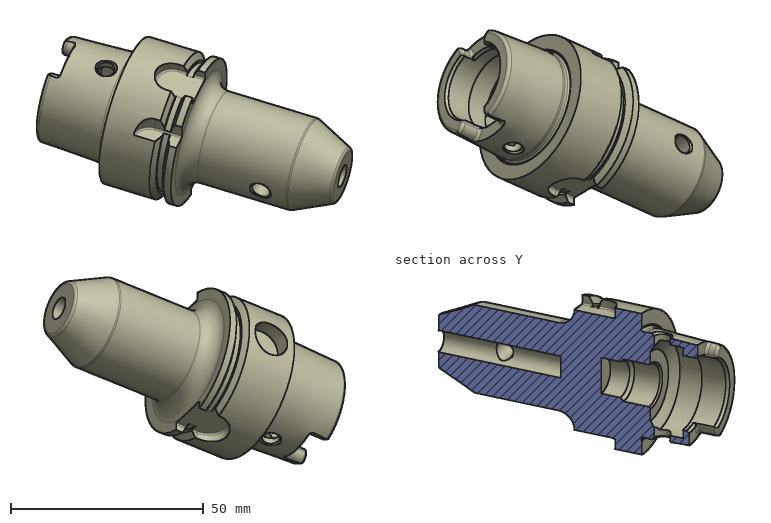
import cadquery as cq
import math

ARC_INSET = 1 - math.sqrt(0.5)

SHANK_LENGTH = 19.9
FLANGE_WIDTH = 20.0
NOSE_END_X = 60.0

SHANK_END_RADIUS = 14.3
SHANK_BASE_RADIUS = 15.1
SHANK_BASE_X = -1.9
NECK_START_X = -1.2
NECK_RADIUS = 14.95
SHANK_END_FILLET = 0.9

FLANGE_RADIUS = 20.0
GROOVE_CENTRE_X = 16.0
GROOVE_TOP_WIDTH = 4.0
GROOVE_FLOOR_WIDTH = 1.8
GROOVE_FLOOR_RADIUS = 17.4
GROOVE_FLANK_ANGLE = 30.0

RELIEF_RADIUS = 15.95
RELIEF_DEPTH = 0.2
RELIEF_BEVEL_WIDTH = 0.35
NECK_FILLET = 0.45

STEM_RADIUS = 12.5
STEM_FILLET = 4.5
NOSE_END_RADIUS = 7.5
NOSE_CONE_ANGLE = 25.0
NOSE_FILLET = 1.0

MOUTH_RADIUS = 10.95
MOUTH_LENGTH = 0.9
BORE_RADIUS = 10.5
BORE_SHOULDER_X = -12.0
CHAMBER_RADIUS = 12.75
CHAMBER_END_X = -4.3
CHAMBER_FLOOR_RADIUS = 9.72
CHAMBER_FLOOR_ANGLE = 30.0
TUBE_MOUTH_RADIUS = 6.4
TUBE_THREAD_RADIUS = 5.9
TUBE_BORE_RADIUS = 5.0
TUBE_THREAD_LENGTH = 8.0
TUBE_BORE_END_X = 12.0

KEY_SLOT_WIDTH = 8.05
KEY_FLARE_RADIUS = 2.5
KEY_FLARE_TOP = 13.0
KEY_FLOOR_FILLET = 0.8
TOP_KEY_DEPTH = 3.4
BOTTOM_KEY_DEPTH = 6.0

SHANK_HOLE_X = -5.9
SHANK_HOLE_RADIUS = 2.3
SHANK_HOLE_SINK_RADIUS = 2.9

FLANGE_SLOT_START_X = 8.0
FLANGE_SLOT_FLOOR = 17.0
FLANGE_SLOT_FILLET = 0.4
TOP_SLOT_WIDTH = 9.0
BOTTOM_SLOT_WIDTH = 11.0
NOTCH_OFFSET = 12.0
NOTCH_END_RADIUS = 4.5

POCKET_X = 7.2
POCKET_RADIUS = 5.0
POCKET_DEPTH = 4.6

TOOL_BORE_RADIUS = 3.0
TOOL_BORE_DEPTH = 36.0
SCREW_X = 42.0
SCREW_HOLE_RADIUS = 2.5
SCREW_SINK_RADIUS = 3.0


def revolve_about_x(profile):
    return profile.close().revolve(360, (0, 0, 0), (1, 0, 0))


def make_body():
    cone_start_x = NOSE_END_X - (STEM_RADIUS - NOSE_END_RADIUS) / math.tan(math.radians(NOSE_CONE_ANGLE))
    neck_arc_offset = NECK_FILLET * ARC_INSET
    neck_arc_mid = (RELIEF_DEPTH - neck_arc_offset, NECK_RADIUS + neck_arc_offset)
    stem_arc_offset = STEM_FILLET * ARC_INSET
    stem_arc_mid = (FLANGE_WIDTH + stem_arc_offset, STEM_RADIUS + stem_arc_offset)
    half_top = GROOVE_TOP_WIDTH / 2
    half_floor = GROOVE_FLOOR_WIDTH / 2
    flank_drop = (half_top - half_floor) / math.tan(math.radians(GROOVE_FLANK_ANGLE))
    flank_radius = FLANGE_RADIUS - flank_drop
    profile = (
        cq.Workplane("XY")
        .moveTo(-SHANK_LENGTH, 0)
        .lineTo(-SHANK_LENGTH, SHANK_END_RADIUS)
        .lineTo(SHANK_BASE_X, SHANK_BASE_RADIUS)
        .lineTo(NECK_START_X, NECK_RADIUS)
        .lineTo(RELIEF_DEPTH - NECK_FILLET, NECK_RADIUS)
        .threePointArc(neck_arc_mid, (RELIEF_DEPTH, NECK_RADIUS + NECK_FILLET))
        .lineTo(RELIEF_DEPTH, RELIEF_RADIUS - RELIEF_BEVEL_WIDTH)
        .lineTo(0, RELIEF_RADIUS)
        .lineTo(0, FLANGE_RADIUS)
        .lineTo(GROOVE_CENTRE_X - half_top, FLANGE_RADIUS)
        .lineTo(GROOVE_CENTRE_X - half_floor, flank_radius)
        .lineTo(GROOVE_CENTRE_X - half_floor, GROOVE_FLOOR_RADIUS)
        .lineTo(GROOVE_CENTRE_X + half_floor, GROOVE_FLOOR_RADIUS)
        .lineTo(GROOVE_CENTRE_X + half_floor, flank_radius)
        .lineTo(GROOVE_CENTRE_X + half_top, FLANGE_RADIUS)
        .lineTo(FLANGE_WIDTH, FLANGE_RADIUS)
        .lineTo(FLANGE_WIDTH, STEM_RADIUS + STEM_FILLET)
        .threePointArc(stem_arc_mid, (FLANGE_WIDTH + STEM_FILLET, STEM_RADIUS))
        .lineTo(cone_start_x, STEM_RADIUS)
        .lineTo(NOSE_END_X, NOSE_END_RADIUS)
        .lineTo(NOSE_END_X, 0)
    )
    body = revolve_about_x(profile)
    body = body.edges(cq.selectors.BoxSelector(
        (cone_start_x - 1, -FLANGE_RADIUS, -FLANGE_RADIUS),
        (NOSE_END_X + 1, FLANGE_RADIUS, FLANGE_RADIUS),
    )).edges("%CIRCLE").fillet(NOSE_FILLET)
    return body.faces("<X").edges().fillet(SHANK_END_FILLET)


def make_clamping_bore():
    floor_rise = (CHAMBER_RADIUS - CHAMBER_FLOOR_RADIUS) * math.tan(math.radians(CHAMBER_FLOOR_ANGLE))
    floor_x = CHAMBER_END_X + floor_rise
    thread_chamfer = TUBE_MOUTH_RADIUS - TUBE_THREAD_RADIUS
    thread_step = TUBE_THREAD_RADIUS - TUBE_BORE_RADIUS
    thread_end_x = floor_x + TUBE_THREAD_LENGTH
    profile = (
        cq.Workplane("XY")
        .moveTo(-SHANK_LENGTH, 0)
        .lineTo(-SHANK_LENGTH, MOUTH_RADIUS)
        .lineTo(-SHANK_LENGTH + MOUTH_LENGTH, BORE_RADIUS)
        .lineTo(BORE_SHOULDER_X, BORE_RADIUS)
        .lineTo(BORE_SHOULDER_X, CHAMBER_RADIUS)
        .lineTo(CHAMBER_END_X, CHAMBER_RADIUS)
        .lineTo(floor_x, CHAMBER_FLOOR_RADIUS)
        .lineTo(floor_x, TUBE_MOUTH_RADIUS)
        .lineTo(floor_x + thread_chamfer, TUBE_THREAD_RADIUS)
        .lineTo(thread_end_x, TUBE_THREAD_RADIUS)
        .lineTo(thread_end_x + thread_step, TUBE_BORE_RADIUS)
        .lineTo(TUBE_BORE_END_X, TUBE_BORE_RADIUS)
        .lineTo(TUBE_BORE_END_X, 0)
    )
    return revolve_about_x(profile)


def make_key_slot(depth, flip):
    half_width = KEY_SLOT_WIDTH / 2
    flare_y = half_width + KEY_FLARE_RADIUS
    flare_bottom = KEY_FLARE_TOP - KEY_FLARE_RADIUS
    arc_offset = KEY_FLARE_RADIUS * ARC_INSET
    arc_y = half_width + arc_offset
    arc_z = KEY_FLARE_TOP - arc_offset
    slot = (
        cq.Workplane("YZ")
        .workplane(offset=-SHANK_LENGTH)
        .moveTo(-half_width, 0)
        .lineTo(-half_width, flare_bottom)
        .threePointArc((-arc_y, arc_z), (-flare_y, KEY_FLARE_TOP))
        .lineTo(-FLANGE_RADIUS, KEY_FLARE_TOP)
        .lineTo(-FLANGE_RADIUS, FLANGE_RADIUS)
        .lineTo(FLANGE_RADIUS, FLANGE_RADIUS)
        .lineTo(FLANGE_RADIUS, KEY_FLARE_TOP)
        .lineTo(flare_y, KEY_FLARE_TOP)
        .threePointArc((arc_y, arc_z), (half_width, flare_bottom))
        .lineTo(half_width, 0)
        .close()
        .extrude(depth)
    )
    slot = slot.faces(">X").edges("not(<Z or >Z or <Y or >Y)").fillet(KEY_FLOOR_FILLET)

    plate = (
        cq.Workplane("XY")
        .box(depth, 2 * FLANGE_RADIUS, FLANGE_RADIUS, centered=(False, True, False))
        .translate((-SHANK_LENGTH - depth, 0, 0))
    )
    rim = cq.selectors.BoxSelector(
        (-SHANK_LENGTH - 0.1, -flare_y, KEY_FLARE_RADIUS),
        (-SHANK_LENGTH + 0.1, flare_y, KEY_FLARE_TOP - KEY_FLARE_RADIUS),
    )
    slot = slot.union(plate).edges(rim).fillet(SHANK_END_FILLET)
    return slot.rotate((0, 0, 0), (1, 0, 0), 180 if flip else 0)


def make_key_mouth(depth, flip):
    """Chamfer of the clamping bore where it meets the floor of a key slot."""
    floor_x = depth - SHANK_LENGTH
    cone = revolve_about_x(
        cq.Workplane("XY")
        .moveTo(floor_x, 0)
        .lineTo(floor_x, MOUTH_RADIUS)
        .lineTo(floor_x + MOUTH_LENGTH, BORE_RADIUS)
        .lineTo(floor_x + MOUTH_LENGTH, 0)
    )
    side = cq.Workplane("XY").box(2 * SHANK_LENGTH, KEY_SLOT_WIDTH, FLANGE_RADIUS, centered=(True, True, False))
    return cone.intersect(side).rotate((0, 0, 0), (1, 0, 0), 180 if flip else 0)


def make_radial_hole(x, radius, sink_radius, surface_radius):
    """Hole along +Z from the axis, with a 45 degree countersink at the surface."""
    sink = sink_radius - radius
    profile = (
        cq.Workplane("XZ")
        .moveTo(0, 0)
        .lineTo(radius, 0)
        .lineTo(radius, surface_radius - sink)
        .lineTo(sink_radius, surface_radius)
        .lineTo(sink_radius, FLANGE_RADIUS)
        .lineTo(0, FLANGE_RADIUS)
        .close()
    )
    return profile.revolve(360, (0, 0, 0), (0, 1, 0)).translate((x, 0, 0))


def make_flange_slot(width, flip):
    half_width = width / 2
    length = 2 * FLANGE_WIDTH
    slot = (
        cq.Workplane("XY")
        .workplane(offset=FLANGE_SLOT_FLOOR)
        .moveTo(FLANGE_SLOT_START_X + half_width, half_width)
        .threePointArc((FLANGE_SLOT_START_X, 0), (FLANGE_SLOT_START_X + half_width, -half_width))
        .lineTo(length, -half_width)
        .lineTo(length, half_width)
        .close()
        .extrude(FLANGE_RADIUS)
        .faces("<Z").edges().fillet(FLANGE_SLOT_FILLET)
    )
    return slot.rotate((0, 0, 0), (1, 0, 0), 180 if flip else 0)


def make_flange_notch():
    """Corner notch with one wall at -Y, a floor at +Z and a round end."""
    centre_x = FLANGE_SLOT_START_X + NOTCH_END_RADIUS
    far_y = -NOTCH_OFFSET - 2 * NOTCH_END_RADIUS
    length = 2 * FLANGE_WIDTH
    return (
        cq.Workplane("XY")
        .workplane(offset=NOTCH_OFFSET)
        .moveTo(centre_x, -NOTCH_OFFSET)
        .threePointArc((FLANGE_SLOT_START_X, -NOTCH_OFFSET - NOTCH_END_RADIUS), (centre_x, far_y))
        .lineTo(length, far_y)
        .lineTo(length, -NOTCH_OFFSET)
        .close()
        .extrude(FLANGE_RADIUS)
        .faces("<Z").edges().fillet(FLANGE_SLOT_FILLET)
    )


def make_rim_pocket():
    pocket = cq.Workplane("XZ").center(POCKET_X, 0).circle(POCKET_RADIUS).extrude(-POCKET_DEPTH)
    return pocket.translate((0, FLANGE_RADIUS - POCKET_DEPTH, 0))


def make_tool_bore():
    return cq.Workplane("YZ").workplane(offset=NOSE_END_X).circle(TOOL_BORE_RADIUS).extrude(-TOOL_BORE_DEPTH)


KEY_SLOTS = ((TOP_KEY_DEPTH, False), (BOTTOM_KEY_DEPTH, True))
FLANGE_SLOTS = ((TOP_SLOT_WIDTH, False), (BOTTOM_SLOT_WIDTH, True))

result = make_body().cut(make_clamping_bore())
for key_depth, is_below in KEY_SLOTS:
    result = result.cut(make_key_slot(key_depth, is_below))
    result = result.cut(make_key_mouth(key_depth, is_below))

shank_hole = make_radial_hole(SHANK_HOLE_X, SHANK_HOLE_RADIUS, SHANK_HOLE_SINK_RADIUS, NECK_RADIUS)
result = result.cut(shank_hole).cut(shank_hole.mirror("XY"))

for slot_width, is_below in FLANGE_SLOTS:
    result = result.cut(make_flange_slot(slot_width, is_below))
result = result.cut(make_flange_notch()).cut(make_rim_pocket())

screw_hole = make_radial_hole(SCREW_X, SCREW_HOLE_RADIUS, SCREW_SINK_RADIUS, STEM_RADIUS)
result = result.cut(make_tool_bore()).cut(screw_hole.rotate((0, 0, 0), (1, 0, 0), 90))